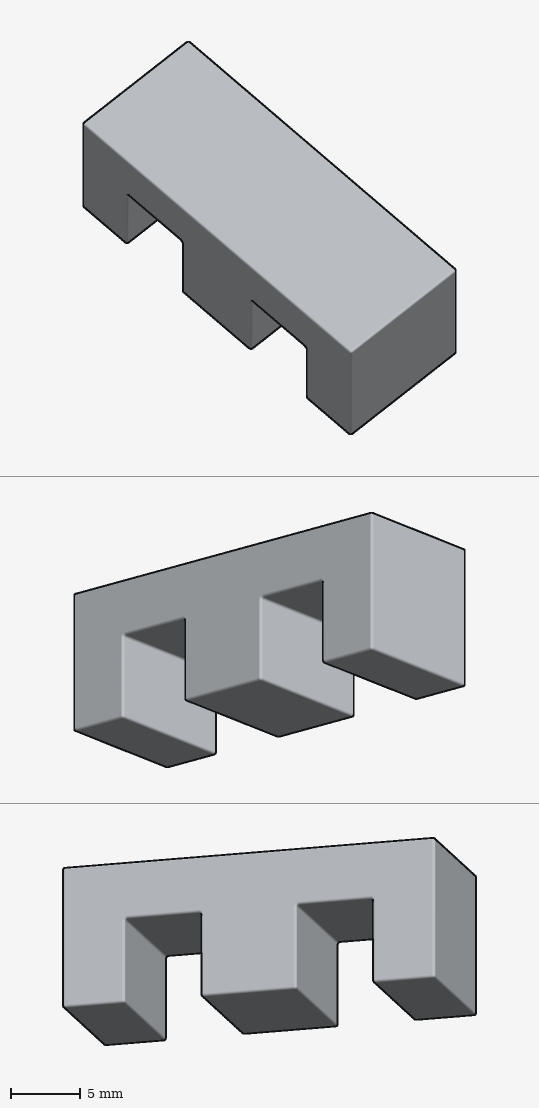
import cadquery as cq

length = 28.0
depth = 10.6
height = 10.5

center_leg_width = 7.2
window_width = 5.7
window_height = 6.3

edge_radius = 0.2

window_offset = (center_leg_width + window_width) / 2


def window(center_x):
    """Opening through the full depth, rising from the underside."""
    return (
        cq.Workplane("XY")
        .box(window_width, depth, window_height, centered=(True, True, False))
        .translate((center_x, 0, 0))
    )


core = cq.Workplane("XY").box(length, depth, height, centered=(True, True, False))
for side in (-1, 1):
    core = core.cut(window(side * window_offset))

result = core.edges().fillet(edge_radius)